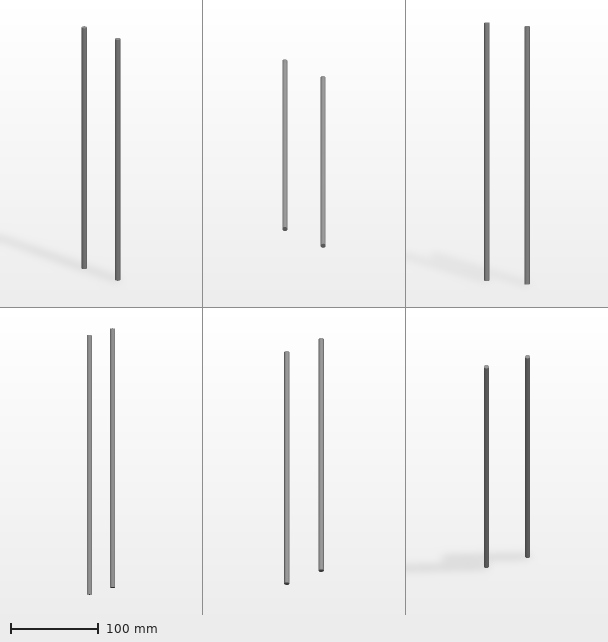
import cadquery as cq

rod_length = 300.0
rod_diameter = 6.0
overall_width = 56.0
rod_spacing = overall_width - rod_diameter


def make_rod(x_position):
    """Plain round rod with its axis at x_position, standing on Z = 0."""
    return cq.Workplane("XY").center(x_position, 0).circle(rod_diameter / 2).extrude(rod_length)


rods = []
for side in (-1, 1):
    rods.append(make_rod(side * rod_spacing / 2).val())

result = cq.Compound.makeCompound(rods)